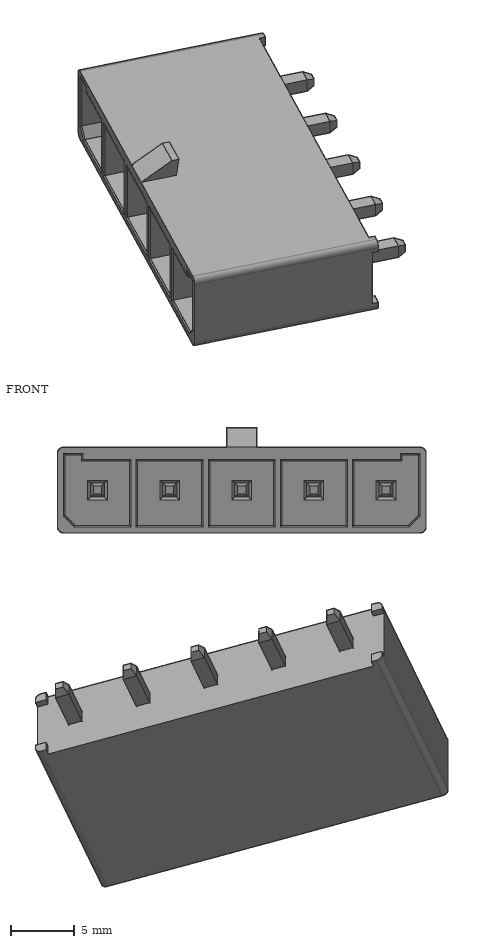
import cadquery as cq

WIDTH = 29.15
HEIGHT = 6.8
LENGTH = 14.8
CORNER_RADIUS = 0.5

FOOT_WIDTH = 0.9
FOOT_HEIGHT = 0.87
FOOT_LENGTH = 0.5

PIN_COUNT = 5
PIN_SPAN = 22.8
PITCH = PIN_SPAN / (PIN_COUNT - 1)
MOUTH_CHAMFER = 0.12
PARTITION = 0.4 + 2 * MOUTH_CHAMFER
OUTER_WALL = 0.5 + MOUTH_CHAMFER
TOP_WALL = 1.0 + MOUTH_CHAMFER
POCKET_WIDTH = PITCH - PARTITION
POCKET_DEPTH = 11.08
POCKET_BOTTOM = OUTER_WALL
POCKET_TOP = HEIGHT - TOP_WALL
NOTCH_WIDTH = 1.28
NOTCH_TOP = HEIGHT - OUTER_WALL
KEY_CHAMFER = 0.8

LATCH_WIDTH = 2.4
LATCH_HEIGHT = 1.55
LATCH_BASE_LENGTH = 2.95
LATCH_TIP_START = 2.57
LATCH_TIP_END = 3.15

PIN_SIZE = 1.15
PIN_TIP_SIZE = 0.65
PIN_TIP_LENGTH = 0.67
PIN_FRONT = 4.65
PIN_REAR = 18.5
PIN_Z = HEIGHT / 2
COUNTERSINK = 0.2

PIN_POSITIONS = [i * PITCH - PIN_SPAN / 2 for i in range(PIN_COUNT)]


def box_between(x_range, y_range, z_range):
    """Axis-aligned box given by its (low, high) limits on each axis."""
    (x0, x1), (y0, y1), (z0, z1) = x_range, y_range, z_range
    return cq.Workplane("XY").box(x1 - x0, y1 - y0, z1 - z0, centered=False).translate((x0, y0, z0))


def section_at(y):
    """Workplane across the Y axis, with local X along X and local Y along Z, extruding toward +Y."""
    return cq.Workplane(cq.Plane(origin=(0, y, 0), xDir=(1, 0, 0), normal=(0, -1, 0)))


def square_frustum(x, y_start, y_end, size_start, size_end):
    """Square section about a pin axis that changes linearly from one size to another along Y."""
    return (
        section_at(y_start)
        .center(x, PIN_Z)
        .rect(size_start, size_start)
        .workplane(offset=y_start - y_end)
        .rect(size_end, size_end)
        .loft(combine=True, ruled=True)
    )


def make_block():
    """Rounded block whose rear face is cut back between the four corner feet."""
    rear = LENGTH + FOOT_LENGTH
    block = box_between((-WIDTH / 2, WIDTH / 2), (0, rear), (0, HEIGHT)).edges("|Y").fillet(CORNER_RADIUS)
    inner_x = WIDTH / 2 - FOOT_WIDTH
    across = box_between((-WIDTH / 2, WIDTH / 2), (LENGTH, rear), (FOOT_HEIGHT, HEIGHT - FOOT_HEIGHT))
    upright = box_between((-inner_x, inner_x), (LENGTH, rear), (0, HEIGHT))
    return block.cut(across).cut(upright)


def make_latch():
    """Ramp rising from the mating face, with a slightly undercut back."""
    return (
        cq.Workplane("YZ")
        .moveTo(0, HEIGHT)
        .lineTo(LATCH_TIP_START, HEIGHT + LATCH_HEIGHT)
        .lineTo(LATCH_TIP_END, HEIGHT + LATCH_HEIGHT)
        .lineTo(LATCH_BASE_LENGTH, HEIGHT)
        .close()
        .extrude(LATCH_WIDTH / 2, both=True)
    )


def make_pocket(x):
    """Pocket of rectangular section, widened at its mouth."""
    half = POCKET_WIDTH / 2
    pocket = box_between((x - half, x + half), (0, POCKET_DEPTH), (POCKET_BOTTOM, POCKET_TOP))
    return add_mouth(pocket)


def make_end_pocket(x, side):
    """Pocket at one end of the row (side -1 or +1), with an upper notch and a bevelled lower corner."""
    outer = side * (WIDTH / 2 - OUTER_WALL)
    inner = x - side * POCKET_WIDTH / 2
    notch_side = outer - side * NOTCH_WIDTH
    pocket = (
        section_at(0)
        .moveTo(inner, POCKET_BOTTOM)
        .lineTo(inner, POCKET_TOP)
        .lineTo(notch_side, POCKET_TOP)
        .lineTo(notch_side, NOTCH_TOP)
        .lineTo(outer, NOTCH_TOP)
        .lineTo(outer, POCKET_BOTTOM + KEY_CHAMFER)
        .lineTo(outer - side * KEY_CHAMFER, POCKET_BOTTOM)
        .close()
        .extrude(-POCKET_DEPTH)
    )
    return add_mouth(pocket)


def add_mouth(pocket):
    """Flare the front of a pocket cutter outward at 45 degrees."""
    outline = pocket.faces("<Y").wires().val()
    rim = outline.offset2D(MOUTH_CHAMFER, "intersection")[0]
    throat = outline.translate(cq.Vector(0, MOUTH_CHAMFER, 0))
    return pocket.union(cq.Workplane(cq.Solid.makeLoft([rim, throat], True)))


def make_pin_hole(x):
    """Square through-hole for a pin, countersunk at the pocket floor."""
    half = PIN_SIZE / 2
    hole = box_between((x - half, x + half), (POCKET_DEPTH, LENGTH), (PIN_Z - half, PIN_Z + half))
    seat = square_frustum(x, POCKET_DEPTH, POCKET_DEPTH + COUNTERSINK, PIN_SIZE + 2 * COUNTERSINK, PIN_SIZE)
    return hole.union(seat)


def make_housing():
    housing = make_block().union(make_latch())
    for x in PIN_POSITIONS[1:-1]:
        housing = housing.cut(make_pocket(x))
    housing = housing.cut(make_end_pocket(PIN_POSITIONS[0], -1))
    housing = housing.cut(make_end_pocket(PIN_POSITIONS[-1], 1))
    for x in PIN_POSITIONS:
        housing = housing.cut(make_pin_hole(x))
    return housing


def make_pin(x):
    """Square pin with both ends tapered."""
    half = PIN_SIZE / 2
    shank_front = PIN_FRONT + PIN_TIP_LENGTH
    shank_rear = PIN_REAR - PIN_TIP_LENGTH
    shank = box_between((x - half, x + half), (shank_front, shank_rear), (PIN_Z - half, PIN_Z + half))
    front_tip = square_frustum(x, PIN_FRONT, shank_front, PIN_TIP_SIZE, PIN_SIZE)
    rear_tip = square_frustum(x, shank_rear, PIN_REAR, PIN_SIZE, PIN_TIP_SIZE)
    return shank.union(front_tip).union(rear_tip)


housing = make_housing()
pins = [make_pin(x) for x in PIN_POSITIONS]

result = cq.Compound.makeCompound([housing.solids().val(), *[pin.solids().val() for pin in pins]])